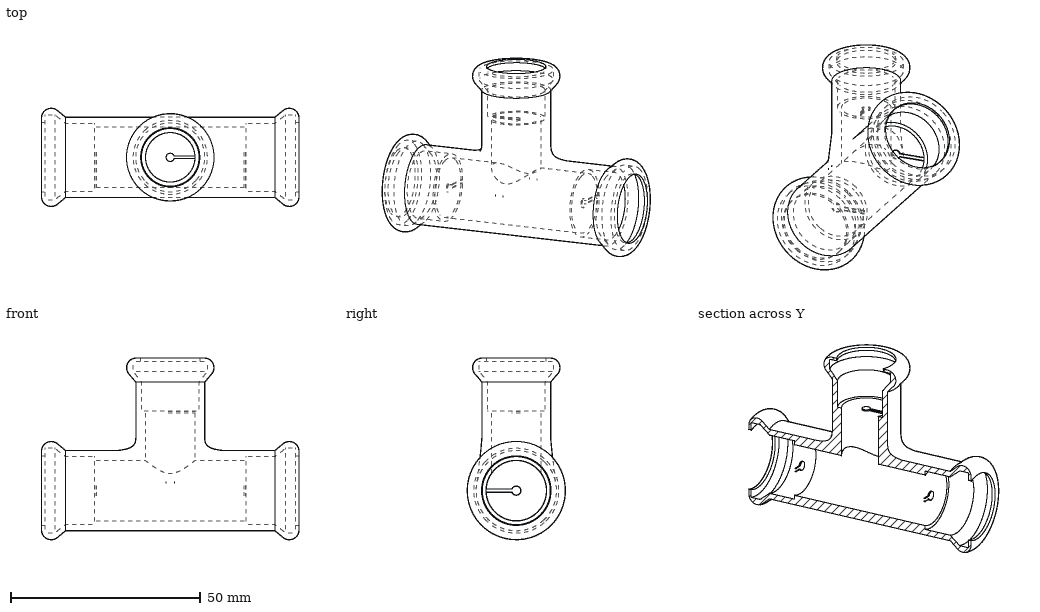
import cadquery as cq
import math

half_length = 34.0
branch_height = 35.0

bead_radius = 2.6
bead_arc_end = 4.15
collar_length = 6.4
socket_depth = 14.0
lip_length = 0.9
lip_clearance = 0.2
groove_end = 3.55
groove_wall = 1.8

run_outer, run_socket, run_bore = 10.6, 9.0, 7.95
branch_outer, branch_socket, branch_bore = 9.1, 7.6, 6.5
run_bead_outer = 13.0
branch_bead_outer = 11.55

saddle_reach = 13.9
saddle_top = 13.8
saddle_bottom = 1.2
core_bottom_radius = math.sqrt(run_outer**2 - saddle_bottom**2)
blend_top_reach = 7.8
blend_half_angle = 84.0
foot_lift = 0.15
blend_sections = 29
root_depth = 1.35

run_disc_radius, branch_disc_radius = 1.2, 1.1
run_bar_width, branch_bar_width = 0.9, 0.7
marker_thickness = 0.35
marker_setback = 0.15
bar_embed = 0.55


def revolve_port(profile, length):
    """Revolve a port profile about Z, with its mouth at the given height."""
    return profile.close().revolve(360, (0, 0, 0), (0, 1, 0)).translate((0, 0, length))


def port_outside(length, outer, bead_outer):
    """Tube ending in a bead with a conical back."""
    bead_center = bead_outer - bead_radius
    arc_rise = math.sqrt(bead_radius**2 - (bead_arc_end - bead_radius) ** 2)
    profile = (
        cq.Workplane("XZ")
        .lineTo(bead_center, 0)
        .threePointArc((bead_outer, -bead_radius), (bead_center + arc_rise, -bead_arc_end))
        .lineTo(outer, -collar_length)
        .lineTo(outer, -length)
        .lineTo(0, -length)
    )
    return revolve_port(profile, length)


def port_inside(length, socket, bore, bead_outer):
    """Through bore, pipe socket and the seal groove behind the mouth lip."""
    groove = bead_outer - groove_wall
    lip = socket + lip_clearance
    profile = (
        cq.Workplane("XZ")
        .lineTo(lip, 0)
        .lineTo(lip, -lip_length)
        .lineTo(groove, -lip_length)
        .lineTo(groove, -groove_end)
        .lineTo(socket, -collar_length)
        .lineTo(socket, -socket_depth)
        .lineTo(bore, -socket_depth)
        .lineTo(bore, -length)
        .lineTo(0, -length)
    )
    return revolve_port(profile, length)


def port_marker(length, bore, disc_radius, bar_width):
    """Disc on the axis just below the shoulder, with its bar toward +X."""
    bar_length = bore + bar_embed
    plane = cq.Workplane("XY").workplane(offset=length - socket_depth - marker_setback)
    disc = plane.circle(disc_radius).extrude(-marker_thickness)
    bar = plane.center(bar_length / 2, 0).rect(bar_length, bar_width).extrude(-marker_thickness)
    return disc.union(bar)


def to_plus_x(body):
    """Turn a port from +Z to +X and its bar from +X to -Y."""
    return body.rotate((0, 0, 0), (0, 0, 1), -90).rotate((0, 0, 0), (0, 1, 0), 90)


def both_ends(body):
    """Run port at +X together with its mirror image at -X."""
    right = to_plus_x(body)
    return right.union(right.mirror("YZ"))


def saddle_core():
    """Branch root, flaring down to the flanks of the run."""
    profile = (
        cq.Workplane("XZ")
        .moveTo(0, saddle_bottom)
        .lineTo(core_bottom_radius, saddle_bottom)
        .lineTo(branch_outer, saddle_top)
        .lineTo(0, saddle_top)
    )
    return profile.close().revolve(360, (0, 0, 0), (0, 1, 0))


def blend_section(angle):
    """Concave blend section in the vertical plane at an angle from +X around the branch."""
    cosine, sine = math.cos(angle), math.sin(angle)
    core_flare = core_bottom_radius - branch_outer

    drop = (blend_top_reach - branch_outer * cosine) / (blend_top_reach + core_flare * cosine)
    drop = max(0, drop)
    top_radius = branch_outer + core_flare * drop
    top_z = saddle_top - (saddle_top - saddle_bottom) * drop

    rise = run_outer - saddle_bottom
    a = (saddle_reach * math.tan(angle)) ** 2 + rise**2
    half_b = saddle_bottom * rise
    c = saddle_bottom**2 - run_outer**2
    share = (math.sqrt(half_b**2 - a * c) - half_b) / a
    foot_radius = saddle_reach * share / cosine
    foot_z = saddle_bottom + rise * share

    def point(radius, z):
        return cq.Vector(radius * cosine, radius * sine, z)

    top = point(top_radius, top_z)
    foot = point(foot_radius, foot_z)
    root = point(top_radius - root_depth, foot_z - root_depth)

    foot_slope = -foot_radius * sine**2 / foot_z - foot_lift
    concave = cq.Edge.makeSpline([top, foot], [point(0, -1), point(1, foot_slope).normalized()])
    return cq.Wire.assembleEdges([
        concave,
        cq.Edge.makeLine(foot, root),
        cq.Edge.makeLine(root, top),
    ])


def saddle():
    """Flared branch root with a blend on each side, fading out at the flanks."""
    step = 2 * blend_half_angle / (blend_sections - 1)
    angles = [math.radians(-blend_half_angle + step * i) for i in range(blend_sections)]
    blend = cq.Workplane(cq.Solid.makeLoft([blend_section(angle) for angle in angles], True))
    return saddle_core().union(blend).union(blend.mirror("YZ"))


outside = both_ends(port_outside(half_length, run_outer, run_bead_outer))
outside = outside.union(port_outside(branch_height, branch_outer, branch_bead_outer))
outside = outside.union(saddle())

result = outside.cut(both_ends(port_inside(half_length, run_socket, run_bore, run_bead_outer)))
result = result.cut(port_inside(branch_height, branch_socket, branch_bore, branch_bead_outer))
result = result.union(both_ends(port_marker(half_length, run_bore, run_disc_radius, run_bar_width)))
result = result.union(port_marker(branch_height, branch_bore, branch_disc_radius, branch_bar_width))